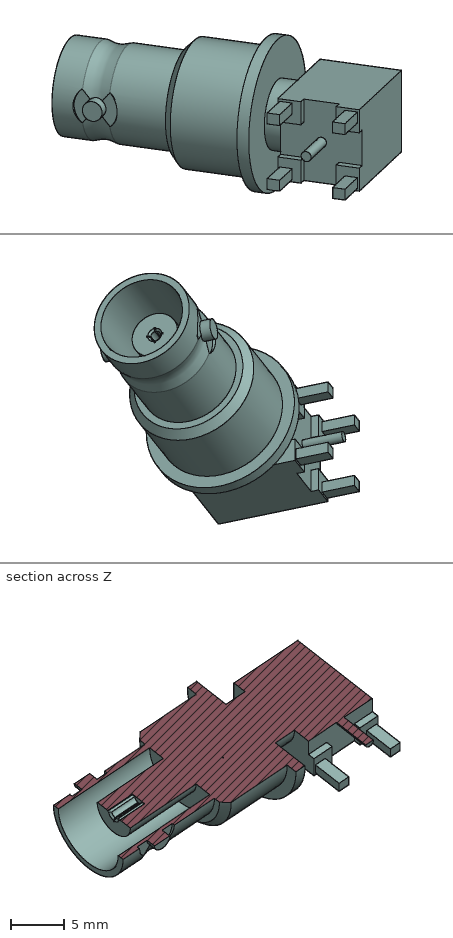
import cadquery as cq


LENGTH = 31.4
COLLAR_START = 11.68
FLANGE_START = 19.62
FLANGE_THICKNESS = 1.2
BAYONET_X = 4.33

BARREL_D = 9.65
BORE_D = 8.25
COLLAR_D = 12.6
COLLAR_CHAMFER = 0.8
FLANGE_D = 15.0
NECK_D = 6.88

INSULATOR_D = 4.6
INSULATOR_FACE_X = 3.25
SOCKET_D = 1.0
SOCKET_MOUTH_D = 1.4
SOCKET_MOUTH_DEPTH = 0.22
SOCKET_DEPTH = 3.15
SLIT_SPAN = 1.63
SLIT_WIDTH = 0.13

STUD_D = 1.98
STUD_SPAN = 11.08
GROOVE_WIDTH = 2.73
GROOVE_DEPTH = 0.28
SPOTFACE_D = 4.43
SPOTFACE_SPAN = 9.05

BLOCK_SIDE = 8.2
BLOCK_BACK_Y = 4.95
FOOT_Y = -6.12
FOOT_SIDE = 2.32
FOOT_HEIGHT = 0.75
PIN_TIP_Y = -9.4
LEG_WIDTH_X = 1.25
LEG_WIDTH_Z = 1.1
LEG_INSET_X = 0.2
LEG_INSET_Z = 0.25
CENTER_PIN_D = 1.0

BLOCK_START = LENGTH - BLOCK_SIDE
BLOCK_CENTER_X = LENGTH - BLOCK_SIDE / 2
FLANGE_END = FLANGE_START + FLANGE_THICKNESS


def rod(diameter, start, end):
    """Cylinder on the barrel axis between two X positions."""
    return cq.Workplane("YZ", origin=(start, 0, 0)).circle(diameter / 2).extrude(end - start)


def cross_rod(diameter, x, start_y, end_y):
    """Cylinder parallel to Y, crossing the barrel axis at x."""
    plane = cq.Plane(origin=(x, start_y, 0), xDir=(1, 0, 0), normal=(0, 1, 0))
    return cq.Workplane(plane).circle(diameter / 2).extrude(end_y - start_y)


def box(size_x, size_z, x, z, start_y, end_y):
    """Block centered on (x, z) that spans two Y positions."""
    center = (x, (start_y + end_y) / 2, z)
    return cq.Workplane("XY").box(size_x, end_y - start_y, size_z).translate(center)


def make_turned_body():
    collar = rod(COLLAR_D, COLLAR_START, FLANGE_START).faces("<X").chamfer(COLLAR_CHAMFER)
    body = rod(BARREL_D, 0, FLANGE_START).union(collar)
    body = body.union(rod(FLANGE_D, FLANGE_START, FLANGE_END))
    return body.union(rod(NECK_D, FLANGE_END, BLOCK_START))


def make_bayonet_groove():
    """Shallow ring of arc-shaped section around the barrel."""
    half_width = GROOVE_WIDTH / 2
    edge_r = BARREL_D / 2
    outside_r = COLLAR_D / 2
    return (
        cq.Workplane("XY")
        .moveTo(BAYONET_X - half_width, edge_r)
        .threePointArc((BAYONET_X, edge_r - GROOVE_DEPTH), (BAYONET_X + half_width, edge_r))
        .lineTo(BAYONET_X + half_width, outside_r)
        .lineTo(BAYONET_X - half_width, outside_r)
        .close()
        .revolve(360, (0, 0, 0), (1, 0, 0))
    )


def add_bayonet(body):
    body = body.cut(make_bayonet_groove())
    for side in (-1, 1):
        flat_y = side * SPOTFACE_SPAN / 2
        body = body.cut(cross_rod(SPOTFACE_D, BAYONET_X, flat_y, side * STUD_SPAN / 2))
    return body.union(cross_rod(STUD_D, BAYONET_X, -STUD_SPAN / 2, STUD_SPAN / 2))


def cut_socket(body):
    """Open the bore around the insulator and sink the slit contact hole into its face."""
    body = body.cut(rod(BORE_D, 0, COLLAR_START))
    body = body.union(rod(INSULATOR_D, INSULATOR_FACE_X, COLLAR_START))
    socket_end = INSULATOR_FACE_X + SOCKET_DEPTH
    body = body.cut(rod(SOCKET_D, INSULATOR_FACE_X, socket_end))
    mouth = cq.Solid.makeCone(
        SOCKET_MOUTH_D / 2,
        SOCKET_D / 2,
        SOCKET_MOUTH_DEPTH,
        pnt=cq.Vector(INSULATOR_FACE_X, 0, 0),
        dir=cq.Vector(1, 0, 0),
    )
    body = body.cut(cq.Workplane(mouth))
    face = cq.Workplane("YZ", origin=(INSULATOR_FACE_X, 0, 0))
    for size_y, size_z in ((SLIT_SPAN, SLIT_WIDTH), (SLIT_WIDTH, SLIT_SPAN)):
        body = body.cut(face.rect(size_y, size_z).extrude(SOCKET_DEPTH))
    return body


def make_housing():
    """Square block with a foot and a rectangular leg at each corner and a round center pin."""
    floor_y = FOOT_Y + FOOT_HEIGHT
    housing = box(BLOCK_SIDE, BLOCK_SIDE, BLOCK_CENTER_X, 0, floor_y, BLOCK_BACK_Y)
    foot_offset = (BLOCK_SIDE - FOOT_SIDE) / 2
    leg_offset_x = (BLOCK_SIDE - LEG_WIDTH_X) / 2 - LEG_INSET_X
    leg_offset_z = (BLOCK_SIDE - LEG_WIDTH_Z) / 2 - LEG_INSET_Z
    for sx in (-1, 1):
        for sz in (-1, 1):
            foot_x = BLOCK_CENTER_X + sx * foot_offset
            leg_x = BLOCK_CENTER_X + sx * leg_offset_x
            foot = box(FOOT_SIDE, FOOT_SIDE, foot_x, sz * foot_offset, FOOT_Y, floor_y)
            leg = box(LEG_WIDTH_X, LEG_WIDTH_Z, leg_x, sz * leg_offset_z, PIN_TIP_Y, FOOT_Y)
            housing = housing.union(foot).union(leg)
    return housing.union(cross_rod(CENTER_PIN_D, BLOCK_CENTER_X, PIN_TIP_Y, floor_y))


result = cut_socket(add_bayonet(make_turned_body())).union(make_housing())